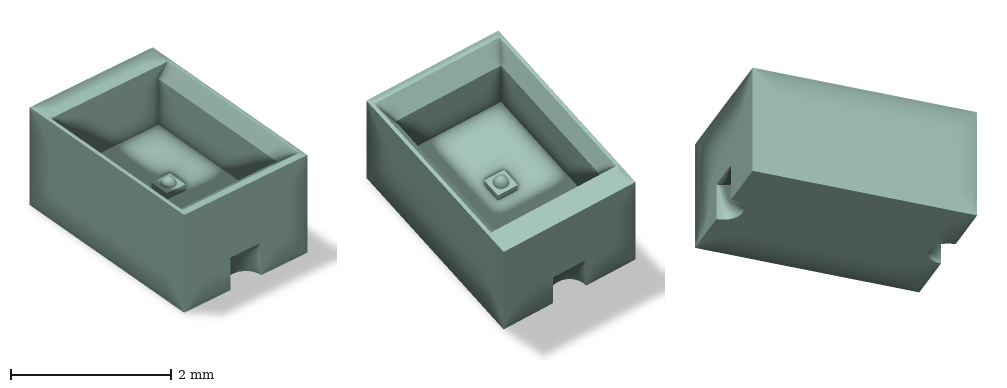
import cadquery as cq

LENGTH = 3.0
WIDTH = LENGTH * 2 / 3
HEIGHT = LENGTH / 2
BASE_HEIGHT = HEIGHT / 3
HOUSING_HEIGHT = HEIGHT - BASE_HEIGHT

TERMINAL_INNER_RADIUS = BASE_HEIGHT / 2
PLATING_THICKNESS = 0.1
TERMINAL_OUTER_RADIUS = TERMINAL_INNER_RADIUS + PLATING_THICKNESS

FLOOR_THICKNESS = 0.1
CAVITY_FLOOR_Z = BASE_HEIGHT + FLOOR_THICKNESS
RIM_LEFT_WALL = 0.35
RIM_RIGHT_WALL = 0.1
RIM_SIDE_WALL = 0.05
FLARE_DEPTH = 0.2
FLARE_RIGHT = 0.25
FLARE_SIDE = 0.15

MARK_WIDTH = 0.1
MARK_OFFSET = 0.1
MARK_DEPTH = 0.05

DIE_SIDE = 0.3
DIE_HEIGHT = 0.1
DOME_RADIUS = 0.1

LEFT_X = -LENGTH / 2
CAVITY_LEFT_X = LEFT_X + RIM_LEFT_WALL
RIM_RIGHT_X = LENGTH / 2 - RIM_RIGHT_WALL
RIM_HALF_WIDTH = WIDTH / 2 - RIM_SIDE_WALL
FLOOR_RIGHT_X = RIM_RIGHT_X - FLARE_RIGHT
FLOOR_HALF_WIDTH = RIM_HALF_WIDTH - FLARE_SIDE
DIE_CENTER_X = 0.0


def block(length, width, height, x, z):
    """Box centred on (x, 0) and rising from z."""
    return cq.Workplane("XY", origin=(x, 0, z)).rect(length, width).extrude(height)


def end_cylinder(radius, x):
    """Full-height cylinder used to form the terminals at an end face."""
    return cq.Workplane("XY", origin=(x, 0, 0)).circle(radius).extrude(BASE_HEIGHT)


def make_base():
    base = block(LENGTH, WIDTH, BASE_HEIGHT, 0, 0)
    for x in (LEFT_X, -LEFT_X):
        base = base.cut(end_cylinder(TERMINAL_OUTER_RADIUS, x))
    return base


def make_terminal(x):
    """Half ring lining the notch in the end face at x."""
    ring = end_cylinder(TERMINAL_OUTER_RADIUS, x).cut(end_cylinder(TERMINAL_INNER_RADIUS, x))
    return ring.intersect(block(LENGTH, WIDTH, BASE_HEIGHT, 0, 0))


def cavity_outline(right_x, half_width, z):
    """Closed rectangular wire of the cavity at height z."""
    return cq.Wire.makePolygon(
        [
            cq.Vector(CAVITY_LEFT_X, -half_width, z),
            cq.Vector(right_x, -half_width, z),
            cq.Vector(right_x, half_width, z),
            cq.Vector(CAVITY_LEFT_X, half_width, z),
        ],
        close=True,
    )


def make_cavity():
    flare_z = HEIGHT - FLARE_DEPTH
    floor_length = FLOOR_RIGHT_X - CAVITY_LEFT_X
    floor_center_x = (CAVITY_LEFT_X + FLOOR_RIGHT_X) / 2
    lower_depth = flare_z - CAVITY_FLOOR_Z
    lower = block(floor_length, 2 * FLOOR_HALF_WIDTH, lower_depth, floor_center_x, CAVITY_FLOOR_Z)
    flare = cq.Solid.makeLoft(
        [
            cavity_outline(FLOOR_RIGHT_X, FLOOR_HALF_WIDTH, flare_z),
            cavity_outline(RIM_RIGHT_X, RIM_HALF_WIDTH, HEIGHT),
        ],
        True,
    )
    return lower.union(cq.Workplane(flare))


def make_mark():
    return block(MARK_WIDTH, WIDTH, MARK_DEPTH, LEFT_X + MARK_OFFSET + MARK_WIDTH / 2, HEIGHT - MARK_DEPTH)


def make_housing():
    housing = block(LENGTH, WIDTH, HOUSING_HEIGHT, 0, BASE_HEIGHT)
    return housing.cut(make_cavity()).cut(make_mark())


def make_die():
    return block(DIE_SIDE, DIE_SIDE, DIE_HEIGHT, DIE_CENTER_X, CAVITY_FLOOR_Z)


def make_dome():
    dome = cq.Solid.makeSphere(DOME_RADIUS, angleDegrees1=0, angleDegrees2=90)
    return cq.Workplane(dome.translate(cq.Vector(DIE_CENTER_X, 0, CAVITY_FLOOR_Z + DIE_HEIGHT)))


base = make_base()
terminals = [make_terminal(x) for x in (LEFT_X, -LEFT_X)]
housing = make_housing()
mark = make_mark()
die = make_die()
dome = make_dome()

result = cq.Compound.makeCompound(
    [
        base.val(),
        *[terminal.val() for terminal in terminals],
        housing.val(),
        mark.val(),
        die.val(),
        dome.val(),
    ]
)